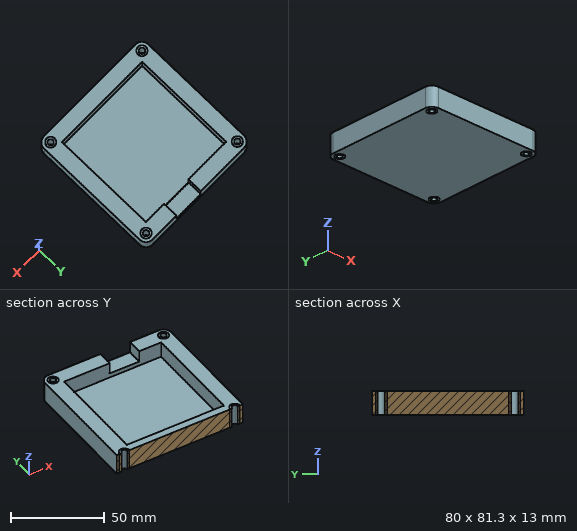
import cadquery as cq

length_x = 80.0
length_y = 81.3
height = 13.0
corner_radius = 4.95

wall = 9.3
floor_thickness = 3.0
pocket_x = length_x - 2 * wall
pocket_y = length_y - 2 * wall

notch_width = 18.7
notch_center_x = 7.5
notch_depth = 7.15

sleeve_diameter = 6.0
bore_diameter = 3.4
sleeve_x = length_x / 2 - corner_radius
sleeve_y = length_y / 2 - corner_radius
sleeve_places = [(sx * sleeve_x, sy * sleeve_y) for sx in (-1, 1) for sy in (-1, 1)]


def make_housing():
    """Rounded tray with a pocket, a notched wall and four corner holes; its base is at Z = 0."""
    block = (
        cq.Workplane("XY")
        .rect(length_x, length_y)
        .extrude(height)
        .edges("|Z")
        .fillet(corner_radius)
    )
    pocket = (
        cq.Workplane("XY", origin=(0, 0, floor_thickness))
        .rect(pocket_x, pocket_y)
        .extrude(height - floor_thickness)
    )
    notch = (
        cq.Workplane("XY", origin=(notch_center_x, length_y / 2 - wall / 2, height - notch_depth))
        .rect(notch_width, wall)
        .extrude(notch_depth)
    )
    sleeve_holes = (
        cq.Workplane("XY")
        .pushPoints(sleeve_places)
        .circle(sleeve_diameter / 2)
        .extrude(height)
    )
    return block.cut(pocket).cut(notch).cut(sleeve_holes)


def make_sleeve(x, y):
    """Full-height tube that fills one corner hole."""
    return (
        cq.Workplane("XY", origin=(x, y, 0))
        .circle(sleeve_diameter / 2)
        .circle(bore_diameter / 2)
        .extrude(height)
    )


housing = make_housing()
sleeves = [make_sleeve(x, y) for x, y in sleeve_places]

result = cq.Compound.makeCompound([housing.val(), *[sleeve.val() for sleeve in sleeves]])